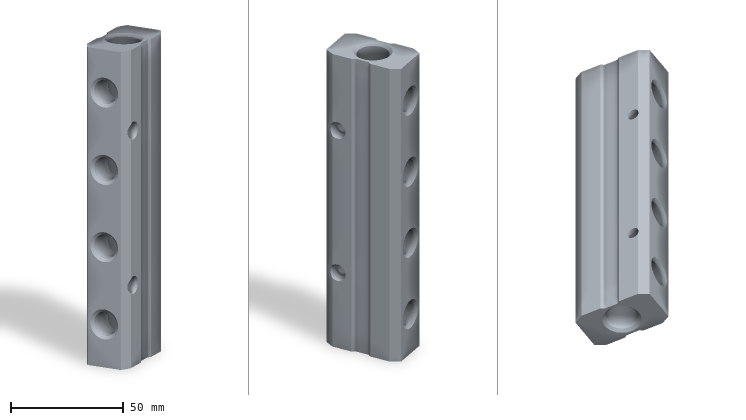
import cadquery as cq

width = 22.0
depth = 38.0
height = 148.0

bevel_y = 4.5
bevel_x = 2.5

groove_mouth = 9.5
groove_floor = 6.7
groove_depth = 1.0

bore_diameter = 14.8
bore_mouth = 17.5
port_diameter = 11.2
port_mouth = 13.9
port_count = 4
port_pitch = 36.0

mount_diameter = 5.5
mount_head_diameter = 8.3
mount_head_depth = 5.0
mount_y = -12.0
mount_spacing = 2 * port_pitch


def block():
    """Rectangular bar with its four long edges bevelled."""
    x = width / 2
    y = depth / 2
    outline = [
        (-x + bevel_x, -y), (x - bevel_x, -y),
        (x, -y + bevel_y), (x, y - bevel_y),
        (x - bevel_x, y), (-x + bevel_x, y),
        (-x, y - bevel_y), (-x, -y + bevel_y),
    ]
    return cq.Workplane("XY").polyline(outline).close().extrude(height / 2, both=True)


def groove(side):
    """Groove cutter on the +X (side = 1) or -X (side = -1) face."""
    face_x = side * width / 2
    floor_x = side * (width / 2 - groove_depth)
    outline = [
        (face_x, -groove_mouth / 2), (floor_x, -groove_floor / 2),
        (floor_x, groove_floor / 2), (face_x, groove_mouth / 2),
    ]
    return cq.Workplane("XY").polyline(outline).close().extrude(height / 2, both=True)


def countersunk_bore(length, diameter, mouth):
    """Through-hole cutter along Z with a 45 degree countersink at both ends."""
    end = length / 2
    radius = diameter / 2
    mouth_radius = mouth / 2
    sink = mouth_radius - radius
    profile = [
        (0, -end), (mouth_radius, -end), (radius, -end + sink),
        (radius, end - sink), (mouth_radius, end), (0, end),
    ]
    return cq.Workplane("XZ").polyline(profile).close().revolve(360, (0, 0, 0), (0, 1, 0))


result = block()
for side in (-1, 1):
    result = result.cut(groove(side))

result = result.cut(countersunk_bore(height, bore_diameter, bore_mouth))

port = countersunk_bore(depth, port_diameter, port_mouth).rotate((0, 0, 0), (1, 0, 0), 90)
for index in range(port_count):
    port_z = (index - (port_count - 1) / 2) * port_pitch
    result = result.cut(port.translate((0, 0, port_z)))

for mount_z in (-mount_spacing / 2, mount_spacing / 2):
    mount_face = cq.Workplane("YZ", origin=(width / 2, mount_y, mount_z))
    shank = mount_face.circle(mount_diameter / 2).extrude(-width)
    head = mount_face.circle(mount_head_diameter / 2).extrude(-mount_head_depth)
    result = result.cut(shank).cut(head)